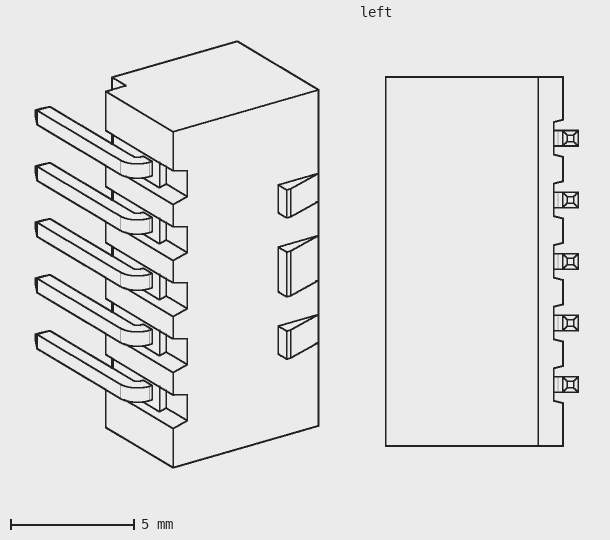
import cadquery as cq
import math

body_width = 5.8
body_depth = 7.2
body_height = 15.0
step_size = 1.0

pin_count = 5
pin_pitch = 2.5
pin_size = 0.64
pin_protrusion = 0.62
pin_reach = 3.4
pin_tip_length = 0.4
pin_tip_size = 0.26
pin_embed_depth = 1.5
bend_inner_radius = 0.2
bend_outer_radius = bend_inner_radius + pin_size
bend_start_x = 2.94

groove_mouth_width = 1.5
groove_wall_draft = 14.0
shallow_depth = 0.37
deep_depth = 0.7
deep_start_x = 4.3

wedge_projection = 0.6
wedge_length = 2.0
wedge_lip = 0.2
wedge_spacing = 3.15
wedge_small_height = 1.25
wedge_large_height = 2.0
wedges = [
    (-wedge_spacing, wedge_small_height),
    (0.0, wedge_large_height),
    (wedge_spacing, wedge_small_height),
]


def make_body():
    """Rectangular housing with a full-height step along its front left edge."""
    outline = [
        (0, step_size),
        (step_size, step_size),
        (step_size, 0),
        (body_width, 0),
        (body_width, body_depth),
        (0, body_depth),
    ]
    return (
        cq.Workplane("XY")
        .workplane(offset=-body_height / 2)
        .polyline(outline)
        .close()
        .extrude(body_height)
    )


def make_groove(start_x, depth, z):
    """Trapezoidal groove, narrowing inward, from start_x to the right face."""
    mouth_half = groove_mouth_width / 2
    floor_half = mouth_half - depth * math.tan(math.radians(groove_wall_draft))
    profile = [
        (0, z - mouth_half),
        (depth, z - floor_half),
        (depth, z + floor_half),
        (0, z + mouth_half),
    ]
    return (
        cq.Workplane("YZ")
        .workplane(offset=start_x)
        .polyline(profile)
        .close()
        .extrude(body_width - start_x)
    )


def make_pin(z):
    """Right-angle square pin: tapered tip along -X, rounded bend, leg into the body."""
    outer_y = -pin_protrusion
    inner_y = outer_y + pin_size
    shoulder_x = pin_tip_length - pin_reach
    bend_center_y = outer_y + bend_outer_radius
    leg_outer_x = bend_start_x + bend_outer_radius
    leg_inner_x = bend_start_x + bend_inner_radius
    diagonal = math.sqrt(0.5)
    outer_mid = (
        bend_start_x + bend_outer_radius * diagonal,
        bend_center_y - bend_outer_radius * diagonal,
    )
    inner_mid = (
        bend_start_x + bend_inner_radius * diagonal,
        bend_center_y - bend_inner_radius * diagonal,
    )
    shaft = (
        cq.Workplane("XY")
        .workplane(offset=z - pin_size / 2)
        .moveTo(shoulder_x, outer_y)
        .lineTo(bend_start_x, outer_y)
        .threePointArc(outer_mid, (leg_outer_x, bend_center_y))
        .lineTo(leg_outer_x, pin_embed_depth)
        .lineTo(leg_inner_x, pin_embed_depth)
        .lineTo(leg_inner_x, bend_center_y)
        .threePointArc(inner_mid, (bend_start_x, inner_y))
        .lineTo(shoulder_x, inner_y)
        .close()
        .extrude(pin_size)
    )
    tip = (
        cq.Workplane("YZ", origin=(shoulder_x, (outer_y + inner_y) / 2, z))
        .rect(pin_size, pin_size)
        .workplane(offset=-pin_tip_length)
        .rect(pin_tip_size, pin_tip_size)
        .loft(ruled=True)
    )
    return shaft.union(tip)


def make_wedge(z, height):
    """Latching wedge rising from the back edge to a short lip."""
    crest_x = body_width + wedge_projection
    catch_y = body_depth - wedge_length
    profile = [
        (body_width, body_depth),
        (body_width, catch_y),
        (crest_x, catch_y),
        (crest_x, catch_y + wedge_lip),
    ]
    return (
        cq.Workplane("XY")
        .workplane(offset=z - height / 2)
        .polyline(profile)
        .close()
        .extrude(height)
    )


pin_heights = [(i - (pin_count - 1) / 2) * pin_pitch for i in range(pin_count)]

result = make_body()
for pin_z in pin_heights:
    result = result.cut(make_groove(step_size, shallow_depth, pin_z))
    result = result.cut(make_groove(deep_start_x, deep_depth, pin_z))
for pin_z in pin_heights:
    result = result.union(make_pin(pin_z))
for wedge_z, wedge_height in wedges:
    result = result.union(make_wedge(wedge_z, wedge_height))